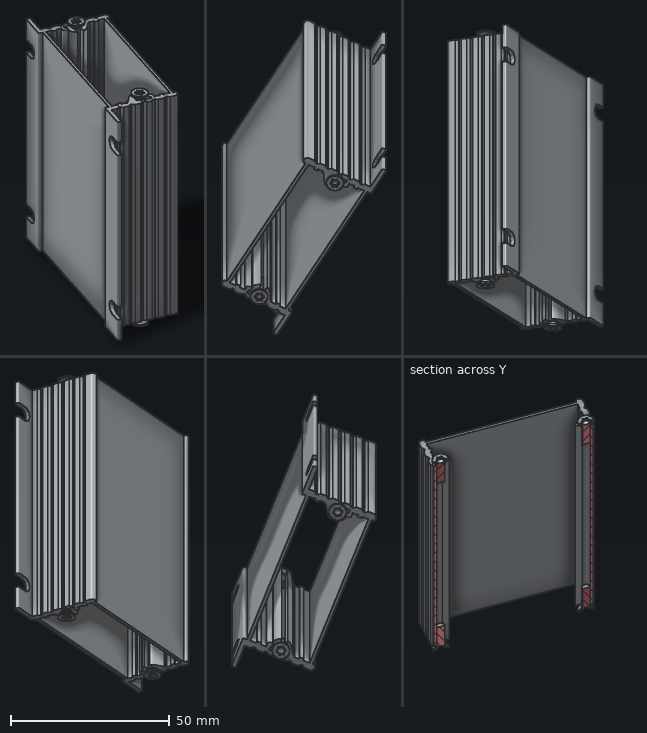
import cadquery as cq
import math


total_width = 71.0
total_depth = 24.8
total_length = 84.0
body_length = 80.0

screw_x = 24.5
screw_y = 0.2
hole_diameter = 2.7
head_diameter = 5.5
head_height = (total_length - body_length) / 2
head_rim_height = 0.6
neck_diameter = 3.0
neck_height = 0.25
shank_length = 8.0
socket_lobes = 6
socket_diameter = 3.1
socket_lobe_diameter = 0.7
socket_depth = 0.8
socket_core_diameter = 2.35
socket_tip_depth = 0.5

wall_outer_x = 27.7
wall_inner_x = 25.45
outer_face = screw_x - wall_outer_x
inner_face = screw_x - wall_inner_x
plate_outer_y = 11.2
plate_thickness = 1.1

groove_pitch = 4.0
groove_width = 2.1
groove_floor = 0.3
groove_depth = 0.7
groove_steps = range(-2, 3)

rib_y = 7.2
rib_width = 1.35
rib_height = 0.6

boss_radius = 3.45
boss_slot_width = 2.0
web_angle = 30.0
web_top_y = 4.8

joint_y = -groove_width / 2
tongue_left = -1.6
tongue_right = -0.7
tongue_bottom = -3.5
lug_top = -3.0
lug_top_right = 1.1
lug_bottom_right = 0.6
lug_bottom = -4.7
lug_fillet = 0.4

rim_outer_radius = 1.3
rim_inner_radius = 0.5

flange_thickness = 1.5
heel_radius = 0.6
flange_tip_radius = 0.4
slot_width = 4.7
slot_length = 6.3
slot_z = 30.1


def extrude_outline(points):
    """A full-length bar with the given straight-sided XY outline."""
    return cq.Workplane("XY").polyline(points).close().extrude(body_length / 2, both=True)


def extrude_box(x_min, x_max, y_min, y_max):
    return extrude_outline([(x_min, y_min), (x_max, y_min), (x_max, y_max), (x_min, y_max)])


def extrude_circle(radius):
    return cq.Workplane("XY").circle(radius).extrude(body_length / 2, both=True)


def half_turn(body):
    return body.rotate((0, 0, 0), (0, 0, 1), 180)


def inner_rib(y):
    return extrude_box(inner_face, inner_face + rib_height, y - rib_width / 2, y + rib_width / 2)


def cut_grooves(wall):
    for step in groove_steps:
        y = step * groove_pitch
        wall = wall.cut(
            extrude_outline(
                [
                    (outer_face, y - groove_width / 2),
                    (outer_face + groove_depth, y - groove_floor / 2),
                    (outer_face + groove_depth, y + groove_floor / 2),
                    (outer_face, y + groove_width / 2),
                ]
            )
        )
    return wall


def make_lug_wall(end_y):
    """The wall from end_y up to the joint, with the lug that hooks under the boss."""
    wall = extrude_outline(
        [
            (outer_face, joint_y),
            (tongue_left, joint_y),
            (tongue_left, tongue_bottom),
            (tongue_right, tongue_bottom),
            (tongue_right, lug_top),
            (lug_top_right, lug_top),
            (lug_bottom_right, lug_bottom),
            (inner_face, lug_bottom),
            (inner_face, end_y),
            (outer_face, end_y),
        ]
    )
    lug_corner = cq.selectors.NearestToPointSelector((lug_bottom_right, lug_bottom, 0))
    wall = wall.edges("|Z").edges(lug_corner).fillet(lug_fillet)
    return wall.union(inner_rib(-rib_y))


def make_boss_wall(end_y, lug_wall):
    """The wall from the joint up to end_y, with the slotted screw boss, its web and its tongue."""
    wall = extrude_box(outer_face, inner_face, joint_y, end_y)
    wall = wall.union(inner_rib(rib_y))

    slope = math.radians(web_angle)
    tangent_point = (boss_radius * math.sin(slope), boss_radius * math.cos(slope))
    shoulder_x = inner_face + rib_height
    shoulder_y = tangent_point[1] + (tangent_point[0] - shoulder_x) * math.tan(slope)
    web = extrude_outline(
        [
            (inner_face, 0),
            (0, 0),
            tangent_point,
            (shoulder_x, shoulder_y),
            (shoulder_x, web_top_y),
            (inner_face, web_top_y),
        ]
    )
    tongue = extrude_box(tongue_left, tongue_right, tongue_bottom, 0)
    boss = extrude_circle(boss_radius).intersect(
        extrude_box(outer_face, boss_radius, -boss_radius, boss_radius)
    )
    wall = wall.union(web).union(boss).union(tongue)

    boss_slot = extrude_box(0, 2 * boss_radius, -boss_slot_width / 2, boss_slot_width / 2)
    return wall.cut(lug_wall).cut(extrude_circle(hole_diameter / 2)).cut(boss_slot)


def make_half(end_y):
    """One half: boss wall at -X, lug wall at +X, and the plate between them on the +Y side."""
    lug_wall = make_lug_wall(-end_y)
    boss_wall = cut_grooves(make_boss_wall(end_y, lug_wall)).translate((-screw_x, 0, 0))
    far_wall = half_turn(cut_grooves(lug_wall).translate((-screw_x, 0, 0)))
    plate = extrude_box(-wall_inner_x, wall_inner_x, plate_outer_y - plate_thickness, plate_outer_y)
    return boss_wall.union(plate).union(far_wall)


def fillet_long_edges(body, x, y, radius):
    """Round the two lengthwise edges at (x, y) and (-x, y)."""
    for edge_x in (-x, x):
        edge = cq.selectors.NearestToPointSelector((edge_x, y, 0))
        body = body.edges("|Z").edges(edge).fillet(radius)
    return body


def make_cover():
    """The half whose wall ends are rounded rims."""
    rim_y = total_depth / 2
    cover = make_half(rim_y - screw_y).translate((0, screw_y, 0))
    cover = fillet_long_edges(cover, wall_outer_x, rim_y, rim_outer_radius)
    return fillet_long_edges(cover, wall_inner_x, rim_y, rim_inner_radius)


def make_base():
    """The half whose wall ends carry mounting flanges with open-ended slots."""
    foot_y = -total_depth / 2
    tip_x = total_width / 2
    base = half_turn(make_half(screw_y - foot_y)).translate((0, screw_y, 0))
    for x_min, x_max in ((-tip_x, -wall_inner_x), (wall_inner_x, tip_x)):
        base = base.union(extrude_box(x_min, x_max, foot_y, foot_y + flange_thickness))

    base = fillet_long_edges(base, wall_inner_x, foot_y, heel_radius)
    for y in (foot_y, foot_y + flange_thickness):
        base = fillet_long_edges(base, tip_x, y, flange_tip_radius)

    slots = (
        cq.Workplane("XZ")
        .pushPoints([(x, z) for x in (-tip_x, tip_x) for z in (-slot_z, slot_z)])
        .slot2D(2 * slot_length, slot_width)
        .extrude(total_depth)
    )
    return base.cut(slots)


def make_screw():
    """A countersunk screw along Z with its neck standing on Z = 0."""
    head_radius = head_diameter / 2
    neck_radius = neck_diameter / 2
    shank_radius = hole_diameter / 2
    profile = [
        (0, -shank_length),
        (shank_radius, -shank_length),
        (shank_radius, 0),
        (neck_radius, 0),
        (neck_radius, neck_height),
        (head_radius, head_height - head_rim_height),
        (head_radius, head_height),
        (0, head_height),
    ]
    screw = cq.Workplane("XZ").polyline(profile).close().revolve(360, (0, 0), (0, 1))

    floor_z = head_height - socket_depth
    lobe_circle_radius = (socket_diameter - socket_lobe_diameter) / 2
    mouth = cq.Workplane("XY").workplane(offset=floor_z)
    core = mouth.circle(socket_core_diameter / 2).extrude(socket_depth)
    lobes = (
        mouth.polarArray(lobe_circle_radius, 0, 360, socket_lobes)
        .circle(socket_lobe_diameter / 2)
        .extrude(socket_depth)
    )
    tip_point = cq.Vector(0, 0, floor_z - socket_tip_depth)
    tip = cq.Solid.makeCone(0, socket_core_diameter / 2, socket_tip_depth, pnt=tip_point)
    return screw.cut(core).cut(lobes).cut(cq.Workplane(tip))


cover = make_cover()
base = make_base()
screws = []
for x in (-screw_x, screw_x):
    for turn in (0, 180):
        screw = make_screw().translate((0, 0, body_length / 2)).rotate((0, 0, 0), (1, 0, 0), turn)
        screws.append(screw.translate((x, screw_y, 0)).val())

result = cq.Compound.makeCompound([cover.val(), base.val(), *screws])